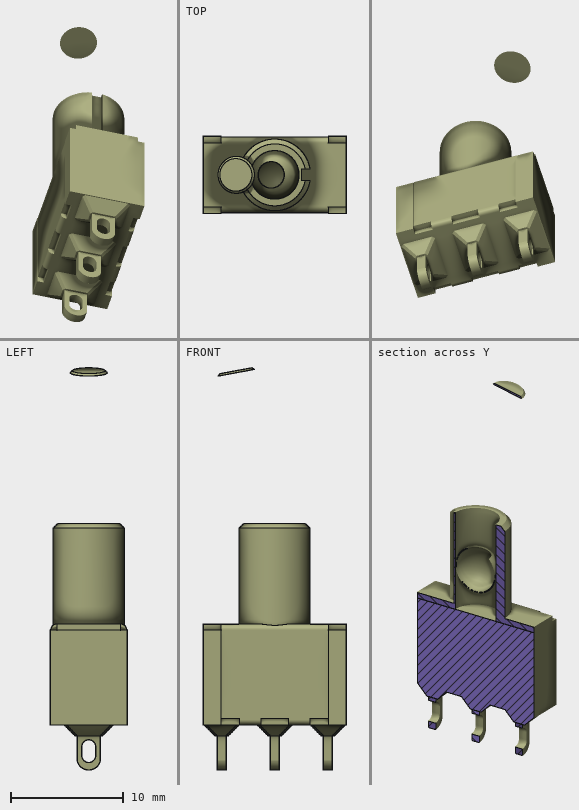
import cadquery as cq

CASE_LENGTH = 12.7
CASE_DEPTH = 6.85
SWITCH_HEIGHT = 8.95
SHEET = 0.55
COVER_DEPTH = 6.75
SKIRT_LENGTH = 9.5

CASE_HEIGHT = SWITCH_HEIGHT - SHEET
CORE_DEPTH = COVER_DEPTH - 2 * SHEET

SKIRT_GAP = 0.57
TAB_WIDTH = 1.9
TAB_BEND = 0.43
TAB_CENTRE = 2.18

BUSHING_DIAMETER = 6.35
BUSHING_HEIGHT = 8.9
BUSHING_CHAMFER = 0.43
BORE_DIAMETER = 4.3
KEYWAY_WIDTH = 1.0
KEYWAY_FLOOR = 2.4
BUSHING_TOP = SWITCH_HEIGHT + BUSHING_HEIGHT

TERMINAL_PITCH = 4.7
TERMINAL_XS = (-TERMINAL_PITCH, 0, TERMINAL_PITCH)
TERMINAL_THICKNESS = 0.82
TERMINAL_WIDTH = 2.07
TERMINAL_DROP = 4.0
TERMINAL_TIP_RISE = 0.82
EYE_WIDTH = 1.2
EYE_LENGTH = 2.0
EYE_MARGIN = 0.35
BOSS_HEIGHT = 0.95
BOSS_TIP_LENGTH = 1.18
BOSS_TIP_DEPTH = 2.42
BOSS_CHAMFER = 0.18
BOSS_ROOT_LENGTH = BOSS_TIP_LENGTH + 2 * BOSS_HEIGHT
BOSS_ROOT_DEPTH = BOSS_TIP_DEPTH + 2 * BOSS_HEIGHT

LEVER_TILT = 10.5
PIVOT_HEIGHT = 12.8
BALL_RADIUS = BORE_DIAMETER / 2
BALL_WALL = 0.1
MOUTH_DIAMETER = 2.35
CAP_DISTANCE = 18.72
CAP_DIAMETER = 3.28
CAP_TOP_DIAMETER = 2.9
CAP_THICKNESS = 0.195


def block(length, depth, bottom, top):
    """Box centred on the Z axis between two heights."""
    return cq.Workplane("XY").workplane(offset=bottom).rect(length, depth).extrude(top - bottom)


def make_boss(x):
    """Boss with bevelled corners that tapers at 45 degrees down from the case bottom."""
    return (
        cq.Workplane("XY")
        .center(x, 0)
        .rect(BOSS_ROOT_LENGTH, BOSS_ROOT_DEPTH)
        .workplane(offset=-BOSS_HEIGHT)
        .rect(BOSS_TIP_LENGTH, BOSS_TIP_DEPTH)
        .loft(ruled=True)
        .edges("not #Z")
        .chamfer(BOSS_CHAMFER)
    )


def make_case():
    """Block with a core between the skirts, four corner posts and three terminal bosses."""
    end_length = (CASE_LENGTH - SKIRT_LENGTH) / 2
    case = block(CASE_LENGTH, CORE_DEPTH, 0, CASE_HEIGHT)
    for side in (-1, 1):
        end = block(end_length, CASE_DEPTH, 0, CASE_HEIGHT)
        case = case.union(end.translate((side * (CASE_LENGTH - end_length) / 2, 0, 0)))
    for x in TERMINAL_XS:
        case = case.union(make_boss(x))
    return case


def make_tab(x, side):
    """Tab below the skirt edge with its outer corner rounded; side is -1 or 1 along Y."""
    tab = block(TAB_WIDTH, SHEET, 0, SKIRT_GAP)
    outer_corner = tab.faces("<Z").edges(">Y" if side > 0 else "<Y")
    return outer_corner.fillet(TAB_BEND).translate((x, side * (COVER_DEPTH - SHEET) / 2, 0))


def make_cover():
    """Bent sheet cover with its plain bushing, bored through down to the case."""
    shell = block(SKIRT_LENGTH, COVER_DEPTH, SKIRT_GAP, SWITCH_HEIGHT).edges("|X and >Z").fillet(SHEET)
    top_plate = block(CASE_LENGTH, CORE_DEPTH, CASE_HEIGHT, SWITCH_HEIGHT)
    cover = shell.cut(block(CASE_LENGTH, CORE_DEPTH, 0, CASE_HEIGHT)).union(top_plate)
    for side in (-1, 1):
        for x in (-TAB_CENTRE, TAB_CENTRE):
            cover = cover.union(make_tab(x, side))
    return cover.union(make_bushing()).cut(make_bore())


def make_bushing():
    """Chamfered barrel with a keyway along its +X side, rising from the cover sheet."""
    barrel = (
        cq.Workplane("XY")
        .workplane(offset=CASE_HEIGHT)
        .circle(BUSHING_DIAMETER / 2)
        .extrude(BUSHING_TOP - CASE_HEIGHT)
        .faces(">Z")
        .chamfer(BUSHING_CHAMFER)
    )
    keyway = block(BUSHING_DIAMETER, KEYWAY_WIDTH, SWITCH_HEIGHT, BUSHING_TOP)
    return barrel.cut(keyway.translate((KEYWAY_FLOOR + BUSHING_DIAMETER / 2, 0, 0)))


def make_bore():
    """Cylinder of air through the bushing and the cover sheet."""
    return (
        cq.Workplane("XY")
        .workplane(offset=CASE_HEIGHT)
        .circle(BORE_DIAMETER / 2)
        .extrude(BUSHING_TOP - CASE_HEIGHT)
    )


def make_terminal(x):
    """Upright solder lug with a round tip and an oblong eye along X."""
    half_width = TERMINAL_WIDTH / 2
    tip_shoulder = TERMINAL_TIP_RISE - TERMINAL_DROP
    eye_centre = -BOSS_HEIGHT - EYE_MARGIN - EYE_LENGTH / 2
    side_plane = cq.Workplane("YZ").workplane(offset=x - TERMINAL_THICKNESS / 2)
    lug = (
        side_plane.moveTo(-half_width, -BOSS_HEIGHT)
        .lineTo(-half_width, tip_shoulder)
        .threePointArc((0, -TERMINAL_DROP), (half_width, tip_shoulder))
        .lineTo(half_width, -BOSS_HEIGHT)
        .close()
        .extrude(TERMINAL_THICKNESS)
    )
    eye = side_plane.center(0, eye_centre).slot2D(EYE_LENGTH, EYE_WIDTH, 90).extrude(TERMINAL_THICKNESS)
    return lug.cut(eye)


def place_on_lever(body):
    """Tilt a body built around the pivot at the origin and lift it to the pivot height."""
    return body.rotate((0, 0, 0), (0, 1, 0), -LEVER_TILT).translate((0, 0, PIVOT_HEIGHT))


def make_ball():
    """Hollow pivot ball with a round mouth towards the lever tip."""
    ball = cq.Workplane("XY").sphere(BALL_RADIUS)
    hollow = cq.Workplane("XY").sphere(BALL_RADIUS - BALL_WALL)
    mouth = cq.Workplane("XY").circle(MOUTH_DIAMETER / 2).extrude(BALL_RADIUS)
    return place_on_lever(ball.cut(hollow).cut(mouth))


def make_cap():
    """Thin disc with a bevelled rim at the lever tip."""
    cap = (
        cq.Workplane("XY")
        .workplane(offset=CAP_DISTANCE)
        .circle(CAP_DIAMETER / 2)
        .workplane(offset=CAP_THICKNESS)
        .circle(CAP_TOP_DIAMETER / 2)
        .loft(ruled=True)
    )
    return place_on_lever(cap)


case = make_case()
cover = make_cover()
terminals = [make_terminal(x) for x in TERMINAL_XS]
ball = make_ball()
cap = make_cap()

result = cq.Compound.makeCompound(
    [case.val(), cover.val(), *[terminal.val() for terminal in terminals], ball.val(), cap.val()]
)